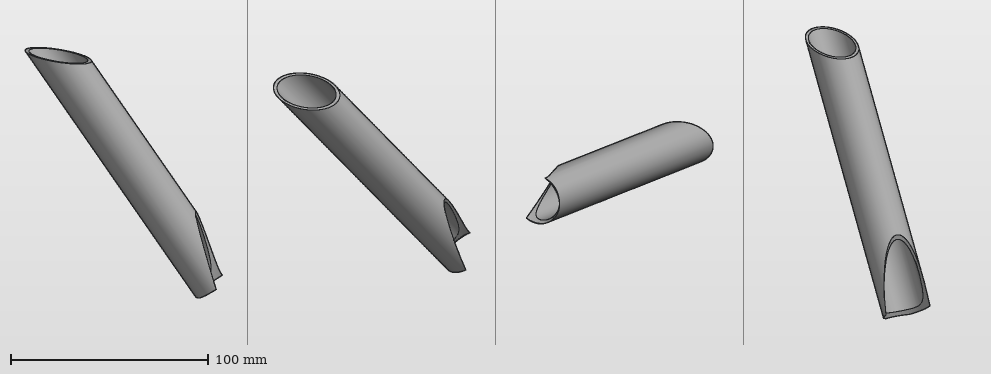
import cadquery as cq

tube_radius = 12.5
wall = 1.4
post_radius = 12.4
post_x = 0.5
lower_trim = 2.0

top_center = cq.Vector(-79.3, -19.8, 120.1)
top_slope_x = 0.15
top_slope_y = 0.04

overrun = 2 * tube_radius
trim_radius = 3 * tube_radius
trim_height = 2 * overrun
post_length = 2 * top_center.Length


def slanted_rod(radius):
    """Rod along the tube axis, square-cut below and overlong above."""
    direction = top_center.normalized()
    start = direction * lower_trim
    length = top_center.Length + overrun - lower_trim
    return cq.Workplane(cq.Solid.makeCylinder(radius, length, start, direction))


def above_top_face():
    """Disc, wider than the tube, resting on the sloping upper face."""
    upward = cq.Vector(top_slope_x, top_slope_y, 1)
    return cq.Workplane(cq.Solid.makeCylinder(trim_radius, trim_height, top_center, upward))


def post():
    """Vertical post that shapes the coped lower end."""
    return cq.Workplane("XY").center(post_x, 0).circle(post_radius).extrude(post_length / 2, both=True)


tube = slanted_rod(tube_radius).cut(slanted_rod(tube_radius - wall))
result = tube.cut(above_top_face()).cut(post())